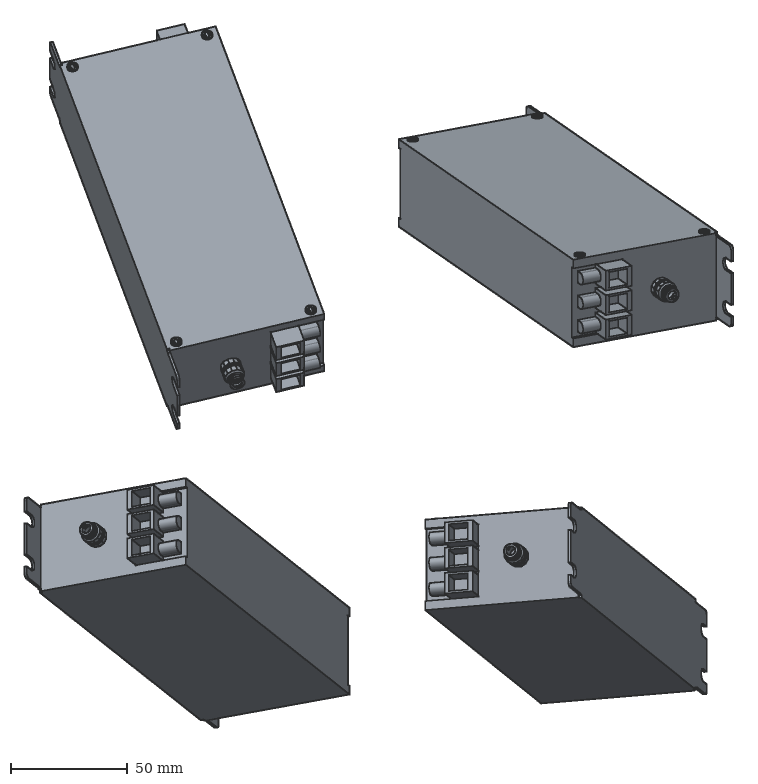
import cadquery as cq

case_width = 162.0
case_depth = 70.0
case_height = 40.0
sheet = 1.1

flange_span = 190.0
flange_height = 37.2
flange_bottom = 1.5
flange_corner_radius = 1.9
slot_width = 5.5
slot_depth = 7.6
slot_pitch = 20.0
lower_slot_height = 9.1

screw_diameter = 4.8
screw_height = 0.5
screw_side_inset = 3.6
screw_pitch_y = 60.0
front_screw_inset = 5.0
screw_edge_chamfer = 0.2
cross_length = 3.0
cross_width = 1.1
cross_depth = 0.4

terminal_count = 3
terminal_pitch = 11.2
terminal_height = 9.1
recess_height = 32.1
recess_depth = 1.5
terminal_depth = 12.5
terminal_reach = 8.2
terminal_back_inset = 11.4
entry_height = 7.2
entry_depth = 8.5
entry_back_inset = 1.7
barrel_radius = 2.7
barrel_axis_reach = 1.0
barrel_back_inset = 2.8

connector_front_inset = 28.0
connector_length = 11.0
thread_diameter = 6.3
thread_root_diameter = 5.0
thread_pitch = 1.1
thread_turns = 3
bore_diameter = 4.0
bore_depth = 5.7
collar_diameter = 9.0
collar_sides = 12
collar_length = 6.5
collar_chamfer = 1.0
nut_length = 2.3
ring_groove_depth = 0.28
ring_count = 3

half_width = case_width / 2
mid_height = case_height / 2


def case():
    return cq.Workplane("XY").box(case_width, case_depth, case_height, centered=(True, False, False))


def flange_plate():
    plate = (
        cq.Workplane("XY", origin=(0, 0, flange_bottom))
        .box(flange_span, sheet, flange_height, centered=(True, False, False))
        .edges("|Y")
        .fillet(flange_corner_radius)
    )
    for side in (-1, 1):
        for height in (lower_slot_height, lower_slot_height + slot_pitch):
            slot = (
                cq.Workplane("XZ", origin=(side * flange_span / 2, 0, height))
                .slot2D(2 * slot_depth, slot_width)
                .extrude(-sheet)
            )
            plate = plate.cut(slot)
    return plate


def corner_reliefs():
    """Bend reliefs that part the front sheet from the side walls above and below the flanges."""
    centers = [(x, z) for x in (-half_width, half_width) for z in (0, case_height)]
    return cq.Workplane("XZ").pushPoints(centers).rect(2 * sheet, 2 * sheet).extrude(-sheet)


def cover_screws():
    screw_x = half_width - screw_side_inset
    back_screw_inset = front_screw_inset + screw_pitch_y
    centers = [(x, y) for x in (-screw_x, screw_x) for y in (front_screw_inset, back_screw_inset)]
    heads = cq.Workplane("XY", origin=(0, 0, case_height)).pushPoints(centers)
    heads = heads.circle(screw_diameter / 2).extrude(screw_height)
    heads = heads.faces(">Z").edges().chamfer(screw_edge_chamfer)
    recess_plane = cq.Workplane("XY", origin=(0, 0, case_height + screw_height)).pushPoints(centers)
    for length_x, length_y in ((cross_length, cross_width), (cross_width, cross_length)):
        heads = heads.cut(recess_plane.rect(length_x, length_y).extrude(-cross_depth))
    return heads


def terminal_recess():
    """Opening in the right side wall, running out through the back edge."""
    length = terminal_back_inset + terminal_depth
    return cq.Workplane("XY").box(recess_depth, length, recess_height).translate(
        (half_width - recess_depth / 2, case_depth - length / 2, mid_height)
    )


def terminal(height):
    """One right-hand terminal block with its wire entry and screw barrel, centred at a height."""
    floor = half_width - recess_depth
    back = case_depth - terminal_back_inset
    block = cq.Workplane("XY").box(recess_depth + terminal_reach, terminal_depth, terminal_height).translate(
        (floor + (recess_depth + terminal_reach) / 2, back - terminal_depth / 2, height)
    )
    entry = cq.Workplane("XY").box(terminal_reach, entry_depth, entry_height).translate(
        (half_width + terminal_reach / 2, back - entry_back_inset - entry_depth / 2, height)
    )
    barrel_axis = half_width + barrel_axis_reach
    barrel = (
        cq.Workplane("XZ", origin=(0, case_depth - barrel_back_inset, height))
        .moveTo(floor, -barrel_radius)
        .lineTo(barrel_axis, -barrel_radius)
        .threePointArc((barrel_axis + barrel_radius, 0), (barrel_axis, barrel_radius))
        .lineTo(floor, barrel_radius)
        .close()
        .extrude(terminal_back_inset - barrel_back_inset)
    )
    return block.cut(entry).union(barrel)


def connector():
    """Right-hand connector: ringed, many-sided collar against the wall, then a bored threaded nose."""
    collar_radius = collar_diameter / 2
    crest = thread_diameter / 2
    root = thread_root_diameter / 2
    ring_pitch = (collar_length - 2 * nut_length) / ring_count
    profile = cq.Workplane("XY").moveTo(0, 0).lineTo(0, collar_radius).lineTo(nut_length, collar_radius)
    for ring in range(ring_count):
        start = nut_length + ring * ring_pitch
        profile = profile.lineTo(start + ring_pitch / 2, collar_radius - ring_groove_depth)
        profile = profile.lineTo(start + ring_pitch, collar_radius)
    profile = profile.lineTo(collar_length, collar_radius)
    profile = profile.lineTo(collar_length + collar_chamfer, collar_radius - collar_chamfer)
    thread_start = connector_length - thread_turns * thread_pitch
    profile = profile.lineTo(thread_start, root)
    for turn in range(thread_turns):
        start = thread_start + turn * thread_pitch
        profile = profile.lineTo(start + thread_pitch / 2, crest)
        if turn < thread_turns - 1:
            profile = profile.lineTo(start + thread_pitch, root)
    profile = profile.lineTo(connector_length, crest)
    profile = profile.lineTo(connector_length, bore_diameter / 2)
    profile = profile.lineTo(connector_length - bore_depth, bore_diameter / 2)
    profile = profile.lineTo(connector_length - bore_depth, 0).close()
    body = profile.revolve(360, (0, 0, 0), (1, 0, 0))
    flats = cq.Workplane("YZ").polygon(collar_sides, collar_diameter).extrude(connector_length)
    flats = flats.rotate((0, 0, 0), (1, 0, 0), 180 / collar_sides)
    return body.intersect(flats).translate((half_width, connector_front_inset, mid_height))


def mirrored(right_feature):
    return right_feature.union(right_feature.mirror("YZ"))


result = case().cut(corner_reliefs()).union(flange_plate()).union(cover_screws())
result = result.cut(mirrored(terminal_recess()))
for index in range(terminal_count):
    offset = (index - (terminal_count - 1) / 2) * terminal_pitch
    result = result.union(mirrored(terminal(mid_height + offset)))
result = result.union(mirrored(connector()))